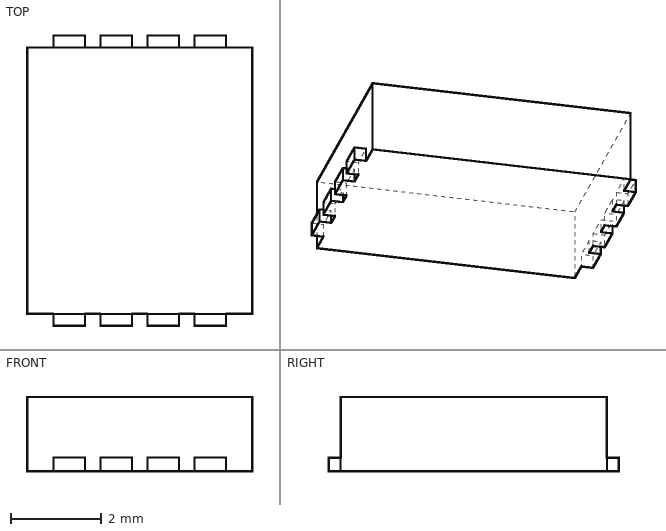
import cadquery as cq

body_width = 5.0
body_length = 5.905
body_height = 1.65

overall_length = 6.44
lead_width = 0.7
lead_height = 0.3
lead_pitch = 1.045
leads_per_row = 4


def make_body():
    return cq.Workplane("XY").box(
        body_width, body_length, body_height, centered=(True, True, False)
    )


def make_leads():
    """Bars running through the body, so each one forms a lead at both ends."""
    return (
        cq.Workplane("XY")
        .rarray(lead_pitch, 0.065, leads_per_row, 1)
        .rect(lead_width, overall_length)
        .extrude(lead_height)
    )


result = make_body().union(make_leads())